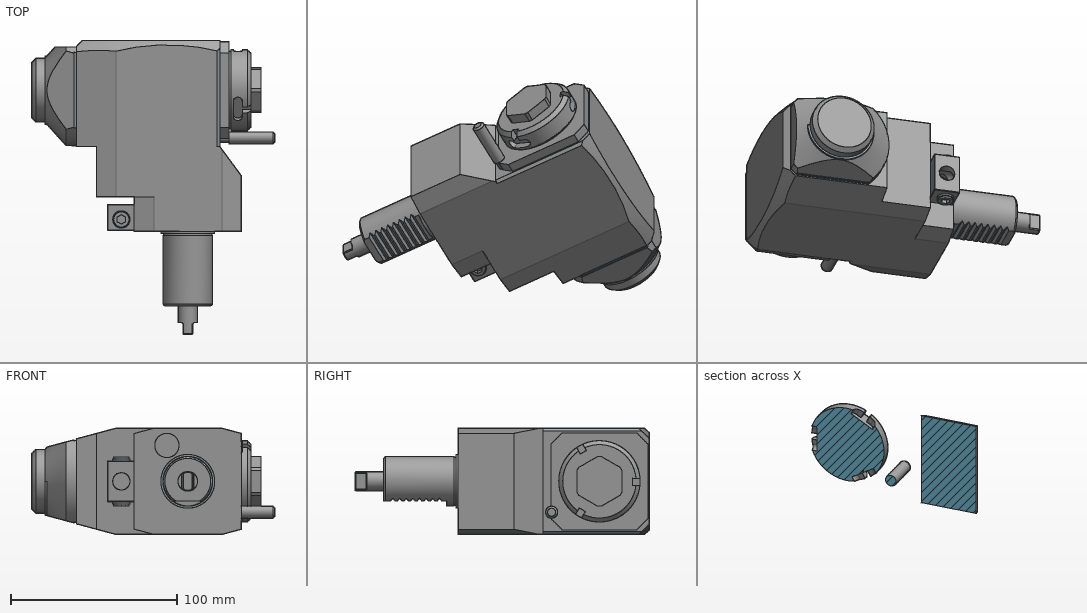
import cadquery as cq
import math


HALF_HEIGHT = 32.0
BACK_Y = 115.0
BODY_LEFT = -67.0
BODY_RIGHT = 19.4
SHOULDER_Y = 51.0
STEP_LEFT = -55.0
STEP_Y = 20.8
BODY_TAPER_START = -43.3
RIGHT_TAPER_START = 20.6
TAPER_ANGLE = 15.0
BACK_CHAMFER = 3.6
RIGHT_EDGE_CHAMFER = 1.7
CROWN_RADIUS = 42.0
CROWN_ARC_RADIUS = 204.0
CROWN_CENTRE_X = -12.5

NECK_LEFT = -32.3
NECK_RIGHT = 32.2
NECK_TAPER_START = -20.2
NECK_CHAMFER_Y = 33.5
PLUG_X = -12.6
PLUG_Z = 21.6
PLUG_RADIUS = 7.3
PLUG_RECESS = 0.2

SHANK_RADIUS = 15.0
SHANK_LENGTH = 45.0
SHANK_CHAMFER = 1.2
COLLAR_RADIUS = 16.2
COLLAR_LENGTH = 1.4
UNDERCUT_RADIUS = 14.6
UNDERCUT_END = 2.4
TOOTH_FLAT_Z = -11.9
TOOTH_FLAT_START = 7.0
TOOTH_COUNT = 8
TOOTH_PITCH = 4.0
FIRST_TOOTH = 11.3
TOOTH_DEPTH = 1.6
TOOTH_WIDTH = 3.0
TANG_RADIUS = 5.9
TANG_END = 55.0
BLADE_END = 62.0
BLADE_WIDTH = 6.0
BLADE_CHAMFER = 0.5
BLADE_FOOT = 0.65

SPINDLE_Y = 85.0
FLANGE_RIGHT = 24.9
FLANGE_HALF_WIDTH = 29.2
FLANGE_CHAMFER = 6.8
SEAT_RADIUS = 23.5
NUT_LEFT = 25.9
NUT_RIGHT = 38.2
NUT_RADIUS = 24.5
NUT_CHAMFER = 2.4
HEX_RIGHT = 44.2
HEX_FLATS = 27.0
HEX_CORNER_FLATS = 30.0
SLOT_ANGLES = (-29.0, 91.0, 211.0)
SLOT_X = 30.1
SLOT_WIDTH = 5.4
SLOT_LENGTH = 16.0
SLOT_DEPTH = 4.5
NOTCH_WIDTH = 4.2
PIN_RADIUS = 3.65
PIN_STEM_RADIUS = 2.7
PIN_RIGHT = 52.4
PIN_Y = 56.2
PIN_Z = -18.6
PIN_CHAMFER = 1.2

CAP_LEFT = -93.98
CAP_KNOB_RADIUS = 19.3
CAP_KNOB_CHAMFER = 2.6
CAP_LEDGE = 1.3
CAP_CONE_LEFT = -86.0
CAP_CONE_RIGHT = -73.2
CAP_RADIUS = 33.5
CAP_BACK_Y = 111.0
CAP_INSET = 0.2
CAP_GROOVE_LEFT = -68.6
CAP_GROOVE_INSET = 0.8

BLOCK_LEFT = -48.4
BLOCK_FRONT = 0.5
BLOCK_BACK = 16.3
BLOCK_HALF_HEIGHT = 12.3
BLOCK_CHAMFER = 0.4
PORT_X = -40.0
SIDE_PORT_Y = 8.5
SIDE_PORT_RADIUS = 4.8
SIDE_PORT_DEPTH = 14.0
FRONT_PORT_RADIUS = 5.2
FRONT_PORT_DEPTH = 13.5
PILOT_RADIUS = 1.3
PILOT_DEPTH = 15.0
SCREW_Y = 7.2
SCREW_RADIUS = 5.2
SCREW_TOP_RADIUS = 4.6
SCREW_STEP = 1.2
SCREW_HEIGHT = 2.4
SCREW_HEX_FLATS = 5.0

TAPER_SLOPE = math.tan(math.radians(TAPER_ANGLE))


def box_between(x0, x1, y0, y1, z0, z1):
    return cq.Workplane("XY").box(x1 - x0, y1 - y0, z1 - z0, centered=False).translate((x0, y0, z0))


def tapered_envelope(left, left_start, half_height, right, y0, y1):
    """Prism along Y whose top and bottom slope down towards both ends in X."""
    left_end = half_height - (left_start - left) * TAPER_SLOPE
    right_end = half_height - (right - RIGHT_TAPER_START) * TAPER_SLOPE
    upper = [
        (left, left_end),
        (left_start, half_height),
        (RIGHT_TAPER_START, half_height),
        (right, right_end),
    ]
    lower = [(x, -z) for x, z in reversed(upper)]
    return cq.Workplane("XZ", origin=(0, y1, 0)).polyline(upper + lower).close().extrude(y1 - y0)


def revolve_about_spindle(profile):
    """Solid of revolution about the spindle axis from (x, radius) points."""
    placed = [(x, SPINDLE_Y + radius) for x, radius in profile]
    return cq.Workplane("XY").polyline(placed).close().revolve(360, (0, SPINDLE_Y, 0), (1, SPINDLE_Y, 0))


def spindle_cylinder(x0, x1, radius):
    return cq.Workplane("YZ", origin=(x0, SPINDLE_Y, 0)).circle(radius).extrude(x1 - x0)


def crown_envelope():
    """Barrel about the spindle axis that rounds the back edges of the housing."""
    def radius_at(x):
        drop = CROWN_ARC_RADIUS - math.sqrt(CROWN_ARC_RADIUS**2 - (x - CROWN_CENTRE_X) ** 2)
        return CROWN_RADIUS - drop

    left_end = (BODY_LEFT, SPINDLE_Y + radius_at(BODY_LEFT))
    right_end = (BODY_RIGHT, SPINDLE_Y + radius_at(BODY_RIGHT))
    barrel = (
        cq.Workplane("XY")
        .moveTo(BODY_LEFT, SPINDLE_Y)
        .lineTo(*left_end)
        .threePointArc((CROWN_CENTRE_X, SPINDLE_Y + CROWN_RADIUS), right_end)
        .lineTo(BODY_RIGHT, SPINDLE_Y)
        .close()
        .revolve(360, (0, SPINDLE_Y, 0), (1, SPINDLE_Y, 0))
    )
    front = box_between(BODY_LEFT, NECK_RIGHT, 0, SPINDLE_Y, -HALF_HEIGHT, HALF_HEIGHT)
    return barrel.union(front)


def make_housing():
    outline = [
        (BODY_LEFT, SHOULDER_Y),
        (STEP_LEFT, SHOULDER_Y),
        (STEP_LEFT, STEP_Y),
        (NECK_RIGHT, STEP_Y),
        (NECK_RIGHT, NECK_CHAMFER_Y),
        (BODY_RIGHT, SHOULDER_Y),
        (BODY_RIGHT, BACK_Y),
        (BODY_LEFT + BACK_CHAMFER, BACK_Y),
        (BODY_LEFT, BACK_Y - BACK_CHAMFER),
    ]
    plan = (
        cq.Workplane("XY", origin=(0, 0, -HALF_HEIGHT)).polyline(outline).close().extrude(2 * HALF_HEIGHT)
    )
    envelope = tapered_envelope(BODY_LEFT, BODY_TAPER_START, HALF_HEIGHT, NECK_RIGHT, STEP_Y, BACK_Y)
    body = plan.intersect(envelope).intersect(crown_envelope())
    body = body.cut(right_edge_chamfers())
    neck = tapered_envelope(NECK_LEFT, NECK_TAPER_START, HALF_HEIGHT, NECK_RIGHT, 0, STEP_Y)
    plug = cq.Workplane("XZ").center(PLUG_X, PLUG_Z).circle(PLUG_RADIUS).extrude(-PLUG_RECESS)
    return body.union(neck).cut(plug)


def right_edge_chamfers():
    """Wedges along the top and bottom edges of the spindle side."""
    wedge = (
        cq.Workplane("XZ", origin=(0, BACK_Y, 0))
        .moveTo(BODY_RIGHT, HALF_HEIGHT)
        .lineTo(BODY_RIGHT - RIGHT_EDGE_CHAMFER, HALF_HEIGHT)
        .lineTo(BODY_RIGHT, HALF_HEIGHT - RIGHT_EDGE_CHAMFER)
        .close()
        .extrude(BACK_Y - SHOULDER_Y)
    )
    return wedge.union(wedge.mirror("XY"))


def make_shank():
    profile = [
        (0, 0),
        (COLLAR_RADIUS, 0),
        (COLLAR_RADIUS, -COLLAR_LENGTH),
        (UNDERCUT_RADIUS, -COLLAR_LENGTH),
        (UNDERCUT_RADIUS, -UNDERCUT_END),
        (SHANK_RADIUS, -UNDERCUT_END),
        (SHANK_RADIUS, SHANK_CHAMFER - SHANK_LENGTH),
        (SHANK_RADIUS - SHANK_CHAMFER, -SHANK_LENGTH),
        (TANG_RADIUS, -SHANK_LENGTH),
        (TANG_RADIUS, -TANG_END),
        (0, -TANG_END),
    ]
    shank = cq.Workplane("XY").polyline(profile).close().revolve(360, (0, 0, 0), (0, 1, 0))
    return shank.cut(shank_teeth()).union(make_blade())


def make_blade():
    """Flat drive blade at the end of the tang, with a flared foot."""
    half_width = BLADE_WIDTH / 2
    blank = box_between(-half_width, half_width, -BLADE_END, -TANG_END, -TANG_RADIUS, TANG_RADIUS)
    tang_round = cq.Workplane("XZ").circle(TANG_RADIUS).extrude(BLADE_END)
    blade = blank.intersect(tang_round).edges("|Y").chamfer(BLADE_CHAMFER)
    blade = blade.faces("<Y").chamfer(BLADE_CHAMFER)
    foot_outline = [
        (-half_width - BLADE_FOOT, -TANG_END),
        (-half_width, -TANG_END - BLADE_FOOT),
        (half_width, -TANG_END - BLADE_FOOT),
        (half_width + BLADE_FOOT, -TANG_END),
    ]
    foot = (
        cq.Workplane("XY", origin=(0, 0, -TANG_RADIUS))
        .polyline(foot_outline)
        .close()
        .extrude(2 * TANG_RADIUS)
        .intersect(tang_round)
    )
    return blade.union(foot)


def shank_teeth():
    """Clamping flat under the shank with its row of V notches."""
    cutter = box_between(
        -SHANK_RADIUS, SHANK_RADIUS, -SHANK_LENGTH, -TOOTH_FLAT_START, -SHANK_RADIUS, TOOTH_FLAT_Z
    )
    for index in range(TOOTH_COUNT):
        y = -FIRST_TOOTH - index * TOOTH_PITCH
        notch = (
            cq.Workplane("YZ", origin=(-SHANK_RADIUS, 0, 0))
            .moveTo(y - TOOTH_WIDTH / 2, TOOTH_FLAT_Z)
            .lineTo(y, TOOTH_FLAT_Z + TOOTH_DEPTH)
            .lineTo(y + TOOTH_WIDTH / 2, TOOTH_FLAT_Z)
            .close()
            .extrude(2 * SHANK_RADIUS)
        )
        cutter = cutter.union(notch)
    return cutter


def hexagon(flats, length):
    return cq.Workplane("YZ").polygon(6, flats, circumscribed=True).extrude(length)


def make_hex_end():
    """Hexagon with flats facing +Y and -Y, its corners trimmed flat."""
    length = HEX_RIGHT - NUT_RIGHT
    flats = hexagon(HEX_FLATS, length)
    corners = hexagon(HEX_CORNER_FLATS, length).rotate((0, 0, 0), (1, 0, 0), 30)
    return flats.intersect(corners).translate((NUT_RIGHT, SPINDLE_Y, 0))


def make_spindle_nose():
    flange = (
        cq.Workplane("YZ", origin=(BODY_RIGHT, SPINDLE_Y, 0))
        .rect(2 * FLANGE_HALF_WIDTH, 2 * FLANGE_HALF_WIDTH)
        .extrude(FLANGE_RIGHT - BODY_RIGHT)
        .edges("|X")
        .chamfer(FLANGE_CHAMFER)
    )
    seat = spindle_cylinder(FLANGE_RIGHT, NUT_LEFT, SEAT_RADIUS)
    nut = spindle_cylinder(NUT_LEFT, NUT_RIGHT, NUT_RADIUS).faces(">X").edges().chamfer(NUT_CHAMFER)
    for angle in SLOT_ANGLES:
        nut = nut.cut(spanner_slot(angle))
    pin = (
        cq.Workplane("YZ", origin=(FLANGE_RIGHT, PIN_Y, PIN_Z))
        .circle(PIN_RADIUS)
        .extrude(PIN_RIGHT - FLANGE_RIGHT)
        .faces(">X")
        .chamfer(PIN_CHAMFER)
    )
    stem = (
        cq.Workplane("YZ", origin=(BODY_RIGHT, PIN_Y, PIN_Z))
        .circle(PIN_STEM_RADIUS)
        .extrude(FLANGE_RIGHT - BODY_RIGHT)
    )
    return flange.union(seat).union(nut).union(make_hex_end()).union(stem).union(pin)


def spanner_slot(angle):
    """Slot in the rim of the nut, open to its face through a narrower notch."""
    floor = NUT_RADIUS - SLOT_DEPTH
    slot = (
        cq.Workplane("XY", origin=(SLOT_X, 0, floor))
        .slot2D(SLOT_LENGTH, SLOT_WIDTH, 90)
        .extrude(2 * SLOT_DEPTH)
    )
    notch = box_between(SLOT_X, NUT_RIGHT, -NOTCH_WIDTH / 2, NOTCH_WIDTH / 2, floor, NUT_RADIUS)
    cutter = slot.union(notch)
    return cutter.rotate((0, 0, 0), (1, 0, 0), -angle).translate((0, SPINDLE_Y, 0))


def cap_envelope(left, inset):
    """Housing taper continued to the left of the housing, set in below its faces."""
    return tapered_envelope(
        left,
        BODY_TAPER_START,
        HALF_HEIGHT - inset,
        NECK_RIGHT,
        SPINDLE_Y - CAP_RADIUS,
        CAP_BACK_Y,
    )


def make_cap():
    """Rear cap: knob, cone with a ledge around its lower half, and grooved rim."""
    knob = spindle_cylinder(CAP_LEFT, CAP_CONE_LEFT, CAP_KNOB_RADIUS)
    knob = knob.faces("<X").edges().chamfer(CAP_KNOB_CHAMFER)
    cone = revolve_about_spindle([
        (CAP_CONE_LEFT, 0),
        (CAP_CONE_LEFT, CAP_KNOB_RADIUS),
        (CAP_CONE_RIGHT, CAP_RADIUS),
        (CAP_GROOVE_LEFT, CAP_RADIUS),
        (CAP_GROOVE_LEFT, 0),
    ])
    ledge_radius = CAP_KNOB_RADIUS + CAP_LEDGE
    lower_half = box_between(
        CAP_LEFT, BODY_LEFT, SPINDLE_Y - ledge_radius, SPINDLE_Y + ledge_radius, -ledge_radius, 0
    )
    ledge = spindle_cylinder(CAP_CONE_LEFT, CAP_CONE_LEFT + CAP_LEDGE, ledge_radius).intersect(lower_half)
    cone = cone.union(ledge).intersect(cap_envelope(CAP_CONE_LEFT, CAP_INSET))
    rim = spindle_cylinder(CAP_GROOVE_LEFT, BODY_LEFT, CAP_RADIUS)
    rim = rim.intersect(cap_envelope(CAP_GROOVE_LEFT, CAP_GROOVE_INSET))
    return knob.union(cone).union(rim)


def make_plug_screw():
    """Socket-headed plug standing on the top face of the coolant block."""
    base = BLOCK_HALF_HEIGHT
    screw = cq.Workplane("XY", origin=(PORT_X, SCREW_Y, base)).circle(SCREW_RADIUS).extrude(SCREW_STEP)
    screw = screw.faces(">Z").workplane().circle(SCREW_TOP_RADIUS).extrude(SCREW_HEIGHT - SCREW_STEP)
    socket = (
        cq.Workplane("XY", origin=(PORT_X, SCREW_Y, base))
        .polygon(6, SCREW_HEX_FLATS, circumscribed=True)
        .extrude(SCREW_HEIGHT)
    )
    return screw.cut(socket)


def make_coolant_block():
    block = box_between(
        BLOCK_LEFT, NECK_LEFT, BLOCK_FRONT, BLOCK_BACK, -BLOCK_HALF_HEIGHT, BLOCK_HALF_HEIGHT
    )
    block = block.edges("not >X").chamfer(BLOCK_CHAMFER)
    front_port = (
        cq.Workplane("XZ", origin=(PORT_X, BLOCK_FRONT, 0))
        .circle(FRONT_PORT_RADIUS)
        .extrude(-FRONT_PORT_DEPTH)
    )
    side_face = cq.Workplane("YZ", origin=(BLOCK_LEFT, SIDE_PORT_Y, 0))
    side_port = side_face.circle(SIDE_PORT_RADIUS).extrude(SIDE_PORT_DEPTH)
    side_pilot = side_face.circle(PILOT_RADIUS).extrude(PILOT_DEPTH)
    screw = make_plug_screw()
    return block.cut(front_port).cut(side_port).cut(side_pilot).union(screw).union(screw.mirror("XY"))


result = (
    make_housing()
    .union(make_shank())
    .union(make_spindle_nose())
    .union(make_cap())
    .union(make_coolant_block())
)